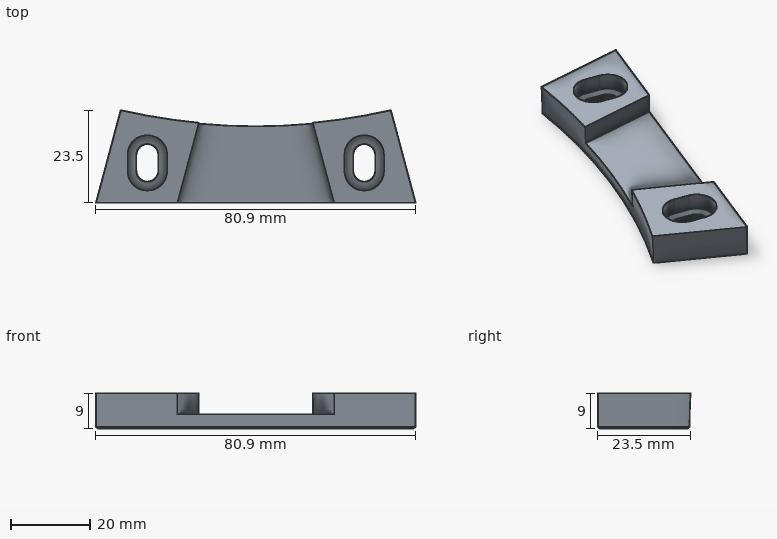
import cadquery as cq
import math

length = 80.9
depth = 23.5
height = 9.0
side_angle = 15
bottom_chamfer = 0.5

hollow_radius = 153.75

recess_front_width = 39.65
floor_height = 3.7

slot_x = 27.4
slot_y = 10.1
slot_travel = 4.0
slot_width = 5.5
counterbore_width = 10.0
counterbore_depth = 4.5


def tapered_block(front_width, base_z, block_height):
    """Symmetric trapezoidal block, narrowing toward the back."""
    front_x = front_width / 2
    back_x = front_x - depth * math.tan(math.radians(side_angle))
    outline = [(-front_x, 0), (front_x, 0), (back_x, depth), (-back_x, depth)]
    return cq.Workplane("XY").workplane(offset=base_z).polyline(outline).close().extrude(block_height)


def slot_cutter(width, base_z):
    """Pair of rounded slots running from base_z up to the top face."""
    return (
        cq.Workplane("XY")
        .workplane(offset=base_z)
        .pushPoints([(-slot_x, slot_y), (slot_x, slot_y)])
        .slot2D(slot_travel + width, width, 90)
        .extrude(height - base_z)
    )


corner_x = length / 2 - depth * math.tan(math.radians(side_angle))
hollow_center_y = depth + math.sqrt(hollow_radius**2 - corner_x**2 - height**2)
hollow = cq.Workplane("XY").sphere(hollow_radius).translate((0, hollow_center_y, 0))

body = tapered_block(length, 0, height).cut(hollow)
body = body.faces("<Z").edges().chamfer(bottom_chamfer)

body = body.cut(tapered_block(recess_front_width, floor_height, height - floor_height))
body = body.cut(slot_cutter(slot_width, 0))
result = body.cut(slot_cutter(counterbore_width, height - counterbore_depth))